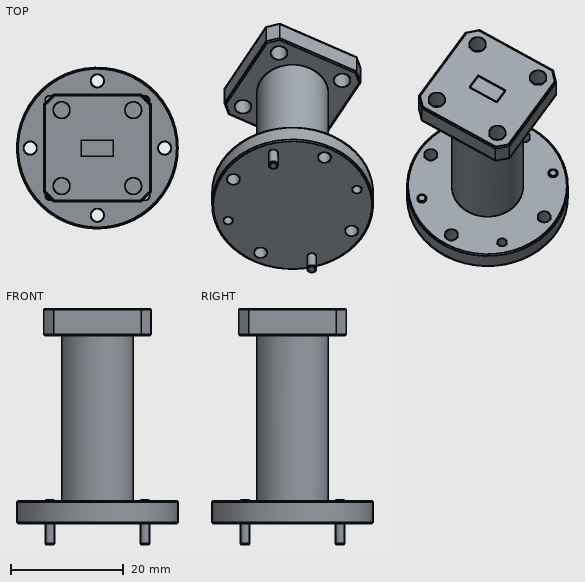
import cadquery as cq

overall_length = 38.1
edge_break = 0.254

round_diameter = 28.575
round_thickness = 4.06
round_pitch_circle = 23.81
screw_hole_diameter = 2.3
screw_hole_count = 4

pin_diameter = 1.65
pin_drop = 3.73
pin_rise = 0.13
pin_chamfer = 0.2

tube_diameter = 12.7

square_side = 19.05
square_thickness = 4.78
square_corner_cut = 1.78
square_hole_diameter = 2.95
square_hole_pitch_x = 12.7
square_hole_pitch_y = 13.46

window_length = 5.69
window_width = 2.845
window_depth = 0.25

square_base = overall_length - square_thickness
pitch_radius = round_pitch_circle / 2
dowel_count = 4
first_dowel_angle = 45
pin_angles = (first_dowel_angle, first_dowel_angle + 180)
pin_length = pin_drop + round_thickness + pin_rise


def make_round_flange():
    disc = cq.Workplane("XY").circle(round_diameter / 2).extrude(round_thickness)
    disc = disc.faces("<Z or >Z").chamfer(edge_break)
    screw_holes = (
        cq.Workplane("XY")
        .polarArray(pitch_radius, 0, 360, screw_hole_count)
        .circle(screw_hole_diameter / 2)
        .extrude(round_thickness)
    )
    dowel_holes = (
        cq.Workplane("XY")
        .polarArray(pitch_radius, first_dowel_angle, 360, dowel_count)
        .circle(pin_diameter / 2)
        .extrude(round_thickness)
    )
    return disc.cut(screw_holes).cut(dowel_holes)


def make_tube():
    tube_length = square_base - round_thickness
    return (
        cq.Workplane("XY", origin=(0, 0, round_thickness))
        .circle(tube_diameter / 2)
        .extrude(tube_length)
    )


def make_square_flange():
    base = cq.Workplane("XY", origin=(0, 0, square_base))
    plate = base.rect(square_side, square_side).extrude(square_thickness)
    plate = plate.edges("|Z").chamfer(square_corner_cut)
    plate = plate.faces("<Z or >Z").chamfer(edge_break)
    holes = (
        base.rect(square_hole_pitch_x, square_hole_pitch_y, forConstruction=True)
        .vertices()
        .circle(square_hole_diameter / 2)
        .extrude(square_thickness)
    )
    return plate.cut(holes)


def make_window():
    return (
        cq.Workplane("XY", origin=(0, 0, overall_length - window_depth))
        .rect(window_length, window_width)
        .extrude(window_depth)
    )


def make_pin(angle):
    pin = cq.Workplane("XY").circle(pin_diameter / 2).extrude(pin_length)
    pin = pin.faces("<Z or >Z").chamfer(pin_chamfer)
    return pin.translate((pitch_radius, 0, -pin_drop)).rotate((0, 0, 0), (0, 0, 1), angle)


housing = make_round_flange().union(make_tube()).union(make_square_flange()).cut(make_window())
pins = [make_pin(angle) for angle in pin_angles]

result = cq.Compound.makeCompound([housing.val(), *[pin.val() for pin in pins]])